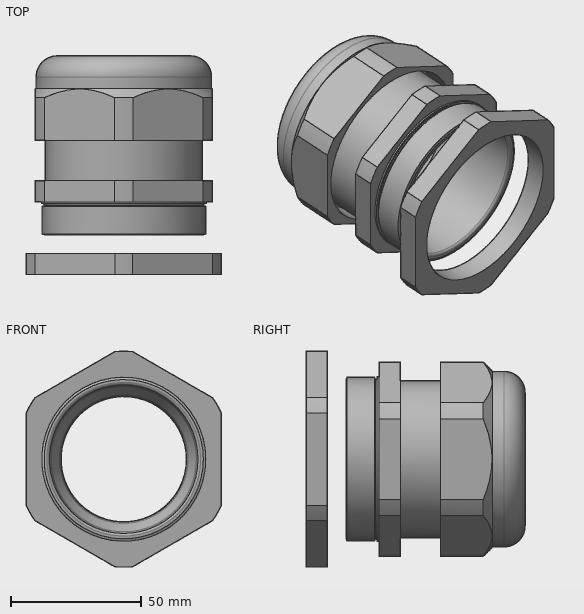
import cadquery as cq


cap_end = 42.05
hexagon_end = 29.5
cap_rim = 9.5
flange_back = -5.9
flange_front = -14.05
collar_front = -14.8
thread_back = -15.5
thread_front = -26.75
locknut_back = -33.9
locknut_front = -42.05

gland_flats = 68.0
gland_corners = 74.8
locknut_flats = 75.0
locknut_corners = 83.0

dome_diameter = 67.5
dome_fillet = 8.2
cap_hole_diameter = 48.5
relief_diameter = 64.4
relief_depth = 10.1

barrel_diameter = 60.5
collar_diameter = 63.4
neck_diameter = 61.8
thread_diameter = 63.0
root_diameter = 61.1
thread_bevel_length = 0.3
bore_diameter = 57.0
mouth_radius = 1.0

seal_front = 8.4
seal_lip_diameter = 55.8
seal_lip_length = 2.35
seal_throat_diameter = 49.4
seal_taper_length = 6.0
seal_hole_diameter = 48.0
seal_throat_length = 2.5

lid_inside = cap_end - dome_fillet


def cylinder(diameter, y_start, y_end):
    """Solid cylinder about the Y axis between two places along it."""
    plane = cq.Workplane("XZ", origin=(0, y_start, 0))
    return plane.circle(diameter / 2).extrude(y_start - y_end)


def revolve(profile):
    """Solid of revolution about the Y axis from (radius, y) points."""
    return cq.Workplane("XY").polyline(profile).close().revolve(360, (0, 0, 0), (0, 1, 0))


def hexagon(flats, corners, y_start, y_end):
    """Hexagonal prism along Y, flats facing +X and -X, with its corners rounded by a cylinder."""
    plane = cq.Workplane("XZ", origin=(0, y_start, 0))
    prism = plane.polygon(6, flats, circumscribed=True).extrude(y_start - y_end)
    return prism.intersect(cylinder(corners, y_start, y_end))


def make_cap():
    dome = cylinder(dome_diameter, cap_rim, cap_end).faces(">Y").edges().fillet(dome_fillet)

    bevel = (gland_corners - dome_diameter) / 2
    bevel_cutter = cylinder(gland_corners, cap_rim, hexagon_end).faces(">Y").chamfer(bevel)
    grip = hexagon(gland_flats, gland_corners, cap_rim, hexagon_end).intersect(bevel_cutter)

    cap = dome.union(grip)
    cap = cap.cut(cylinder(cap_hole_diameter, cap_rim, cap_end))
    cap = cap.cut(cylinder(barrel_diameter, cap_rim, lid_inside))
    return cap.cut(cylinder(relief_diameter, cap_rim, cap_rim + relief_depth))


def make_body():
    barrel = cylinder(barrel_diameter, flange_front, lid_inside)
    flange = hexagon(gland_flats, gland_corners, flange_front, flange_back)

    thread_radius = thread_diameter / 2
    root_radius = root_diameter / 2
    threaded_end = revolve([
        (0, flange_front),
        (collar_diameter / 2, flange_front),
        (collar_diameter / 2, collar_front),
        (neck_diameter / 2, collar_front),
        (root_radius, thread_back),
        (thread_radius, thread_back - thread_bevel_length),
        (thread_radius, thread_front + thread_bevel_length),
        (root_radius, thread_front),
        (0, thread_front),
    ])

    body = barrel.union(flange).union(threaded_end)
    body = body.cut(cylinder(bore_diameter, thread_front, lid_inside))
    mouth_edge = body.faces("<Y").edges(cq.selectors.RadiusNthSelector(0))
    return body.newObject(mouth_edge.vals()).fillet(mouth_radius)


def make_seal():
    """Ring in the body's bore, whose entry narrows to its hole in three cones: gentle, steep, gentle."""
    taper_start = seal_front + seal_lip_length
    taper_end = taper_start + seal_taper_length
    return revolve([
        (bore_diameter / 2, seal_front),
        (seal_lip_diameter / 2, taper_start),
        (seal_throat_diameter / 2, taper_end),
        (seal_hole_diameter / 2, taper_end + seal_throat_length),
        (seal_hole_diameter / 2, lid_inside),
        (bore_diameter / 2, lid_inside),
    ])


def make_locknut():
    nut = hexagon(locknut_flats, locknut_corners, locknut_front, locknut_back)
    return nut.cut(cylinder(thread_diameter, locknut_front, locknut_back))


cap = make_cap()
body = make_body()
seal = make_seal()
locknut = make_locknut()

bodies = [cap, body, seal, locknut]
result = cq.Compound.makeCompound([part.solids().val() for part in bodies])